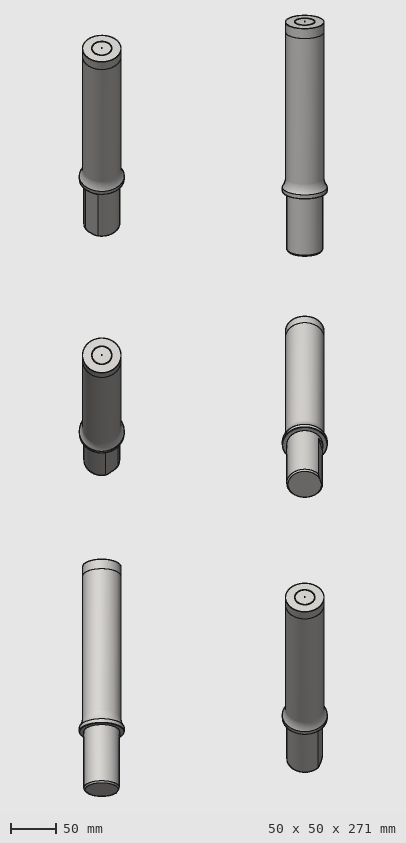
import cadquery as cq
import math

total_height = 271.0
shank_length = 70.0
collar_thickness = 5.0
cap_height = 12.5
cap_base_height = total_height - cap_height

shank_radius = 20.0
collar_radius = 25.0
shaft_radius = 21.5

flare_radius = 18.0
flare_width = collar_radius - shaft_radius
flare_angle = math.acos(1 - flare_width / flare_radius)
flare_height = flare_radius * math.sin(flare_angle)

shank_chamfer_width = 1.5
shank_chamfer_height = 2.0
collar_chamfer = 0.5
flat_offset = 18.0
flat_gap = 5.0

rim_chamfer = 0.3
crown_height = 0.7
ring_groove_radius = 11.0
ring_groove_width = 0.6
ring_groove_depth = 0.3
center_hole_radius = 0.5
center_hole_depth = 2.0



def make_pillar():
    """Turned pillar: chamfered shank, collar, flare and plain shaft."""
    collar_top = shank_length + collar_thickness
    flare_top = collar_top + flare_height
    mid_angle = flare_angle / 2
    flare_mid = (
        shaft_radius + flare_radius * (1 - math.cos(mid_angle)),
        flare_top - flare_radius * math.sin(mid_angle),
    )
    profile = (
        cq.Workplane("XZ")
        .lineTo(shank_radius - shank_chamfer_width, 0)
        .lineTo(shank_radius, shank_chamfer_height)
        .lineTo(shank_radius, shank_length)
        .lineTo(collar_radius - collar_chamfer, shank_length)
        .lineTo(collar_radius, shank_length + collar_chamfer)
        .lineTo(collar_radius, collar_top)
        .threePointArc(flare_mid, (shaft_radius, flare_top))
        .lineTo(shaft_radius, cap_base_height)
        .lineTo(0, cap_base_height)
        .close()
    )
    return profile.revolve(360, (0, 0, 0), (0, 1, 0))


def make_flat_cutter():
    """Block that mills the locating flat on the -Y side of the shank."""
    flat_length = shank_length - flat_gap
    return cq.Workplane("XY").box(
        2 * shank_radius, shank_radius, flat_length, centered=(True, False, False)
    ).translate((0, -flat_offset - shank_radius, 0))


def make_cap():
    """End cap with a shallow conical crown, bevelled rim, ring groove and centre hole."""
    crown_edge_radius = shaft_radius - rim_chamfer
    crown_base = total_height - crown_height
    hole_floor = total_height - center_hole_depth
    profile = (
        cq.Workplane("XZ")
        .moveTo(0, cap_base_height)
        .lineTo(shaft_radius, cap_base_height)
        .lineTo(shaft_radius, crown_base - rim_chamfer)
        .lineTo(crown_edge_radius, crown_base)
        .lineTo(center_hole_radius, total_height)
        .lineTo(center_hole_radius, hole_floor)
        .lineTo(0, hole_floor)
        .close()
    )
    cap = profile.revolve(360, (0, 0, 0), (0, 1, 0))

    crown_slope = crown_height / (crown_edge_radius - center_hole_radius)
    groove_drop = crown_slope * (ring_groove_radius - center_hole_radius)
    groove = (
        cq.Workplane("XY")
        .workplane(offset=total_height - groove_drop - ring_groove_depth)
        .circle(ring_groove_radius + ring_groove_width / 2)
        .circle(ring_groove_radius - ring_groove_width / 2)
        .extrude(groove_drop + ring_groove_depth)
    )
    return cap.cut(groove)


pillar = make_pillar().cut(make_flat_cutter())
cap = make_cap()

result = cq.Compound.makeCompound([pillar.val(), cap.val()])